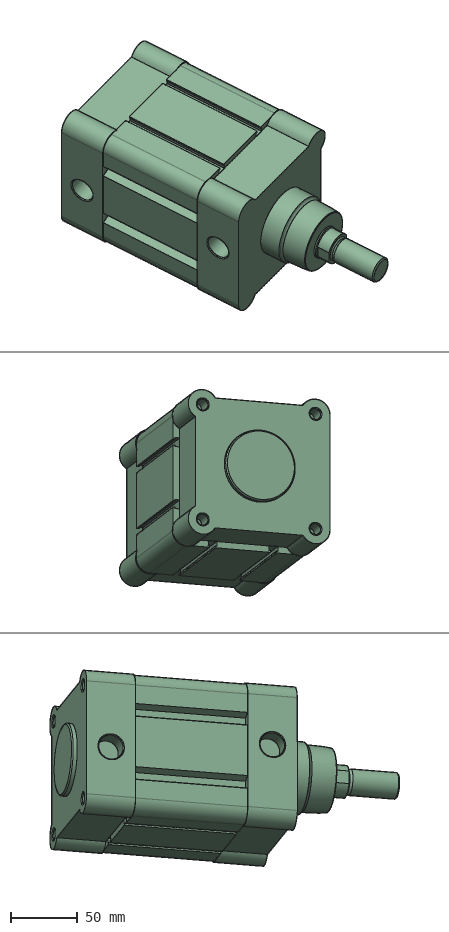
import cadquery as cq


REAR_CAP_START = 4.0
BARREL_START = 42.0
BARREL_END = 128.7
FRONT_CAP_END = 167.0
ROD_START = 205.5
ROD_END = 258.0

CAP_SIZE = 112.0
SCREW_SPACING = 89.0
CAP_RECESS = 5.7
SCREW_DIAMETER = 8.5
SCREW_MOUTH_DIAMETER = 10.0
SCREW_DEPTH = 15.5

PORT_DIAMETER = 18.8
PORT_MOUTH_DIAMETER = 20.5
PORT_DEPTH = 15.5
PORT_OFFSET = 6.0

COLLAR_DIAMETER = 55.0
COLLAR_CHAMFER = 1.0
COLLAR_RIM_CHAMFER = 0.8
COLLAR_END = 184.5
NOSE_START = 186.0
NOSE_START_RADIUS = 25.5
NOSE_END_RADIUS = 24.5
NOSE_CHAMFER = 0.5
NOSE_BULGE = 0.39

BARREL_SIZE = 110.5
SLOT_OFFSET = 24.0
SLOT_MOUTH_WIDTH = 5.0
SLOT_INNER_WIDTH = 7.0
SLOT_LIP = 1.5
SLOT_DEPTH = 5.2
GROOVE_SPACING = 49.8
GROOVE_MOUTH_WIDTH = 10.0
GROOVE_FLOOR_WIDTH = 5.2
GROOVE_DEPTH = 6.5

FLANGE_DIAMETER = 26.0
FLANGE_CHAMFER = 0.8
FLANGE_LENGTH = 2.0
ROD_RADIUS = 12.5
FLATS_START = 208.2
FLATS_WIDTH = 22.7
SHOULDER = 218.3
THREAD_RADIUS = 10.0
NECK_RADIUS = 9.0
NECK_BOTTOM = 219.5
THREAD_START = 221.5
THREAD_CHAMFER = 1.0

collar_radius = COLLAR_DIAMETER / 2
cap_half = CAP_SIZE / 2
screw_half = SCREW_SPACING / 2
lobe_radius = cap_half - screw_half
barrel_half = BARREL_SIZE / 2
SCREW_POINTS = [(y, z) for y in (-screw_half, screw_half) for z in (-screw_half, screw_half)]


def section_plane(x):
    """Sketch plane across the axis: local x is Y, local y is Z, extrusion runs along +X."""
    return cq.Workplane("YZ", origin=(x, 0, 0))


def revolve_about_axis(profile):
    """Turn a profile of (x, radius) drawn in the XY plane about the X axis."""
    return profile.close().revolve(360, (0, 0, 0), (1, 0, 0))


def mouthed_hole(plane, diameter, mouth_diameter, depth):
    """Blind hole cutter with a 45 degree countersunk mouth, running along the plane normal."""
    bore = plane.circle(diameter / 2).extrude(depth)
    mouth_depth = (mouth_diameter - diameter) / 2
    mouth = plane.circle(mouth_diameter / 2).workplane(offset=mouth_depth).circle(diameter / 2).loft()
    return bore.union(mouth)


def make_cap_block(start, end):
    """Square cap with round corner lobes; recessed between the lobes except on the flat -Y side."""
    length = end - start
    recessed_half = cap_half - CAP_RECESS
    block = section_plane(start).rect(2 * recessed_half, 2 * recessed_half).extrude(length)
    lobes = section_plane(start).pushPoints(SCREW_POINTS).circle(lobe_radius).extrude(length)
    flat_side = (
        section_plane(start)
        .center(-(cap_half + screw_half) / 2, 0)
        .rect(lobe_radius, SCREW_SPACING)
        .extrude(length)
    )
    return block.union(lobes).union(flat_side)


def cut_port(cap, start, end, z):
    """Sink an air port into the -Y face, halfway along the cap."""
    plane = cq.Workplane("XZ", origin=((start + end) / 2, -cap_half, z)).workplane(invert=True)
    return cap.cut(mouthed_hole(plane, PORT_DIAMETER, PORT_MOUTH_DIAMETER, PORT_DEPTH))


def make_rear_cap():
    cap = make_cap_block(REAR_CAP_START, BARREL_START)
    collar = section_plane(0).circle(collar_radius).extrude(REAR_CAP_START)
    cap = cap.union(collar.faces("<X").chamfer(COLLAR_CHAMFER))
    for y, z in SCREW_POINTS:
        plane = cq.Workplane("YZ", origin=(REAR_CAP_START, y, z))
        cap = cap.cut(mouthed_hole(plane, SCREW_DIAMETER, SCREW_MOUTH_DIAMETER, SCREW_DEPTH))
    return cut_port(cap, REAR_CAP_START, BARREL_START, -PORT_OFFSET)


def make_front_cap():
    """Bearing cap with a collar and a slightly bowed, tapering nose around the rod."""
    cap = make_cap_block(BARREL_END, FRONT_CAP_END)
    nose_face_edge = ROD_START - NOSE_CHAMFER
    nose_middle = (NOSE_START + nose_face_edge) / 2
    nose_middle_radius = (NOSE_START_RADIUS + NOSE_END_RADIUS) / 2 + NOSE_BULGE
    profile = (
        cq.Workplane("XY")
        .moveTo(FRONT_CAP_END, 0)
        .lineTo(FRONT_CAP_END, collar_radius)
        .lineTo(COLLAR_END - COLLAR_RIM_CHAMFER, collar_radius)
        .lineTo(COLLAR_END, collar_radius - COLLAR_RIM_CHAMFER)
        .lineTo(NOSE_START, NOSE_START_RADIUS)
        .threePointArc((nose_middle, nose_middle_radius), (nose_face_edge, NOSE_END_RADIUS))
        .lineTo(ROD_START, NOSE_END_RADIUS - NOSE_CHAMFER)
        .lineTo(ROD_START, 0)
    )
    cap = cap.union(revolve_about_axis(profile))
    return cut_port(cap, BARREL_END, FRONT_CAP_END, PORT_OFFSET)


def t_slot(offset):
    """T-slot cutter in the +Z face, centred at the given Y."""
    mouth = (
        section_plane(BARREL_START)
        .center(offset, barrel_half - SLOT_DEPTH / 2)
        .rect(SLOT_MOUTH_WIDTH, SLOT_DEPTH)
        .extrude(BARREL_END - BARREL_START)
    )
    inner = (
        section_plane(BARREL_START)
        .center(offset, barrel_half - (SLOT_LIP + SLOT_DEPTH) / 2)
        .rect(SLOT_INNER_WIDTH, SLOT_DEPTH - SLOT_LIP)
        .extrude(BARREL_END - BARREL_START)
    )
    return mouth.union(inner)


def tapered_groove(offset):
    """Trapezoidal groove cutter in the -Y face, centred at the given Z."""
    floor_y = -barrel_half + GROOVE_DEPTH
    return (
        section_plane(BARREL_START)
        .moveTo(-barrel_half, offset - GROOVE_MOUTH_WIDTH / 2)
        .lineTo(floor_y, offset - GROOVE_FLOOR_WIDTH / 2)
        .lineTo(floor_y, offset + GROOVE_FLOOR_WIDTH / 2)
        .lineTo(-barrel_half, offset + GROOVE_MOUTH_WIDTH / 2)
        .close()
        .extrude(BARREL_END - BARREL_START)
    )


def make_barrel():
    """Rounded square barrel: T-slots on the +Y, +Z and -Z sides, tapered grooves on the -Y side."""
    barrel = (
        section_plane(BARREL_START)
        .rect(BARREL_SIZE, BARREL_SIZE)
        .extrude(BARREL_END - BARREL_START)
        .edges("|X")
        .fillet(barrel_half - screw_half)
    )
    for side in (-1, 1):
        barrel = barrel.cut(tapered_groove(side * GROOVE_SPACING / 2))
        for turn in (0, -90, 180):
            slot = t_slot(side * SLOT_OFFSET).rotate((0, 0, 0), (1, 0, 0), turn)
            barrel = barrel.cut(slot)
    return barrel


def make_rod():
    """Stepped rod: flange against the nose, wrench flats, V-shaped neck and threaded end."""
    flange_end = ROD_START + FLANGE_LENGTH
    profile = (
        cq.Workplane("XY")
        .moveTo(ROD_START, 0)
        .lineTo(ROD_START, FLANGE_DIAMETER / 2)
        .lineTo(flange_end - FLANGE_CHAMFER, FLANGE_DIAMETER / 2)
        .lineTo(flange_end, ROD_RADIUS)
        .lineTo(SHOULDER, ROD_RADIUS)
        .lineTo(SHOULDER, THREAD_RADIUS)
        .lineTo(NECK_BOTTOM, NECK_RADIUS)
        .lineTo(THREAD_START, THREAD_RADIUS)
        .lineTo(ROD_END - THREAD_CHAMFER, THREAD_RADIUS)
        .lineTo(ROD_END, THREAD_RADIUS - THREAD_CHAMFER)
        .lineTo(ROD_END, 0)
    )
    rod = revolve_about_axis(profile)
    flats_length = SHOULDER - FLATS_START
    flat_depth = ROD_RADIUS - FLATS_WIDTH / 2
    for side in (-1, 1):
        flat = (
            section_plane(FLATS_START)
            .center(side * (FLATS_WIDTH + flat_depth) / 2, 0)
            .rect(flat_depth, 2 * ROD_RADIUS)
            .extrude(flats_length)
        )
        rod = rod.cut(flat)
    return rod


rear_cap = make_rear_cap()
barrel = make_barrel()
front_cap = make_front_cap()
rod = make_rod()

result = cq.Compound.makeCompound([rear_cap.val(), barrel.val(), front_cap.val(), rod.val()])